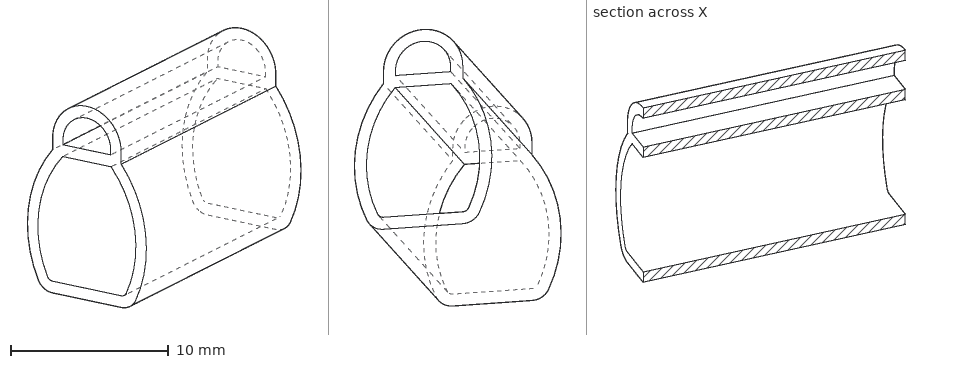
import cadquery as cq
import math

length = 18.0
height = 13.0
width = 8.98
half_width = width / 2
wall = 0.8

arch_radius = 2.6
arch_center_z = height - arch_radius
web_top_z = 10.08
web_bottom_z = web_top_z - wall

bulge_z = 4.28
bulge_radius = 8.4
bulge_center_x = half_width - bulge_radius
corner_radius = 1.2


def side_x(z, radius):
    """Half width at height z of the side arc with the given radius."""
    return bulge_center_x + math.sqrt(radius**2 - (z - bulge_z) ** 2)


def extrude_along_y(outline):
    return outline.close().extrude(length / 2, both=True)


def barrel(bottom_z, top_z, inset):
    """Solid with flat top and bottom, bulging sides and rounded lower corners."""
    radius = bulge_radius - inset
    widest = half_width - inset
    bottom_x = side_x(bottom_z, radius)
    top_x = side_x(top_z, radius)
    outline = (
        cq.Workplane("XZ")
        .moveTo(-bottom_x, bottom_z)
        .lineTo(bottom_x, bottom_z)
        .threePointArc((widest, bulge_z), (top_x, top_z))
        .lineTo(-top_x, top_z)
        .threePointArc((-widest, bulge_z), (-bottom_x, bottom_z))
    )
    lower_corners = cq.selectors.BoxSelector(
        (-half_width, -length, bottom_z - wall / 2),
        (half_width, length, bottom_z + wall / 2),
    )
    return extrude_along_y(outline).edges("|Y").edges(lower_corners).fillet(corner_radius - inset)


def arch(bottom_z, radius):
    """Solid with a flat bottom, straight sides and a half-round top."""
    outline = (
        cq.Workplane("XZ")
        .moveTo(-radius, bottom_z)
        .lineTo(radius, bottom_z)
        .lineTo(radius, arch_center_z)
        .threePointArc((0, arch_center_z + radius), (-radius, arch_center_z))
    )
    return extrude_along_y(outline)


shoulder_z = bulge_z + math.sqrt(bulge_radius**2 - (arch_radius - bulge_center_x) ** 2)

outer = barrel(0, shoulder_z, 0).union(arch(web_bottom_z, arch_radius))
result = outer.cut(barrel(wall, web_bottom_z, wall)).cut(arch(web_top_z, arch_radius - wall))